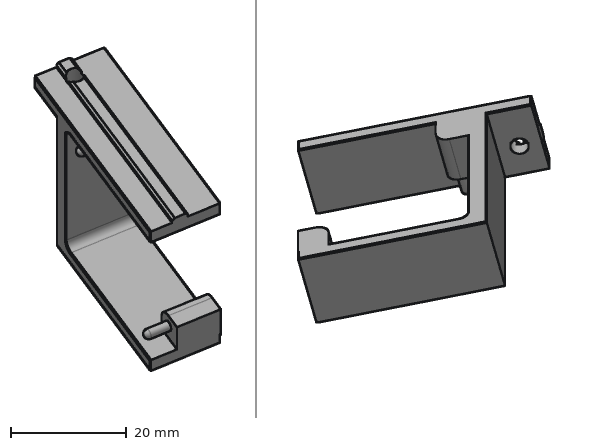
import cadquery as cq

length = 41.5
width = 14.0
height = 37.0
ridge_height = 1.0
plate_thickness = 2.82
wall_start = 7.93
wall_thickness = 3.3
overhang_extra_depth = 0.12
inner_radius = 1.65
edge_chamfer = 0.2

ridge_width = 3.1
ridge_chamfer = 0.5
ridge_y = 5.95
hole_diameter = 3.2
hole_x = 4.0

block_front = 5.3
block_reach = 5.73
block_end_width = 5.48
block_overlap = 0.85
block_radius = 2.4
pin_diameter = 1.9
pin_tip_y = 0.4
pin_root_y = 6.65
pin_inset = 3.25
pin_end_inset = 3.0

plate_top = height - ridge_height
plate_bottom = plate_top - plate_thickness
overhang_bottom = plate_bottom - overhang_extra_depth
wall_end = wall_start + wall_thickness

upper_pin_x = wall_end + pin_inset
upper_pin_z = plate_bottom - pin_inset
lower_pin_x = length - pin_end_inset
lower_pin_z = plate_thickness + pin_inset


def front_plane(y):
    """XZ sketch plane at depth y; a negative extrusion runs toward +Y."""
    return cq.Workplane(cq.Plane(origin=(0, y, 0), xDir=(1, 0, 0), normal=(0, -1, 0)))


def make_frame():
    """Top plate, wall and bottom plate, broken along the front and back edges."""
    outline = [
        (wall_start, 0),
        (length, 0),
        (length, plate_thickness),
        (wall_end, plate_thickness),
        (wall_end, plate_bottom),
        (length, plate_bottom),
        (length, plate_top),
        (0, plate_top),
        (0, overhang_bottom),
        (wall_start, overhang_bottom),
    ]
    frame = front_plane(0).polyline(outline).close().extrude(-width)
    margin = 0.4
    inner_corners = cq.selectors.BoxSelector(
        (wall_end - margin, 0, plate_thickness - margin),
        (wall_end + margin, width, plate_bottom + margin),
    )
    frame = frame.edges("|Y").edges(inner_corners).fillet(inner_radius)
    return frame.faces("<Y or >Y").edges().chamfer(edge_chamfer)


def make_ridge():
    """Rail with sloping upper edges along the top plate, sunk into the plate."""
    ridge = cq.Workplane("XY").box(
        length, ridge_width, ridge_height + plate_thickness / 2, centered=(False, True, False)
    )
    ridge = ridge.faces(">Z").edges("|X").chamfer(ridge_chamfer)
    return ridge.translate((0, ridge_y, plate_top - plate_thickness / 2))


def make_block(x_start, x_end, z_start, z_end, rounded_corner):
    """Support block running to the back face, with one edge rounded."""
    block = cq.Workplane("XY").box(
        x_end - x_start, width - block_front, z_end - z_start, centered=False
    )
    block = block.edges("|Y").edges(rounded_corner).fillet(block_radius)
    return block.translate((x_start, block_front, z_start))


def make_pin(x, z):
    """Pin with a hemispherical tip, anchored inside its block."""
    radius = pin_diameter / 2
    tip_center_y = pin_tip_y + radius
    shaft = front_plane(tip_center_y).center(x, z).circle(radius).extrude(tip_center_y - pin_root_y)
    tip = cq.Workplane("XY").sphere(radius).translate((x, tip_center_y, z))
    return shaft.union(tip)


frame = make_frame()
ridge = make_ridge()

upper_block = make_block(
    wall_end - block_overlap,
    wall_end + block_reach,
    plate_bottom - block_reach,
    plate_bottom + block_overlap,
    ">X and <Z",
)
lower_block = make_block(
    length - block_end_width,
    length,
    plate_thickness - block_overlap,
    plate_thickness + block_reach,
    "<X and >Z",
)
upper_pin = make_pin(upper_pin_x, upper_pin_z)
lower_pin = make_pin(lower_pin_x, lower_pin_z)

hole = cq.Workplane("XY").center(hole_x, ridge_y).circle(hole_diameter / 2).extrude(height)

result = frame.union(ridge).cut(hole)
for feature in (upper_block, lower_block, upper_pin, lower_pin):
    result = result.union(feature)